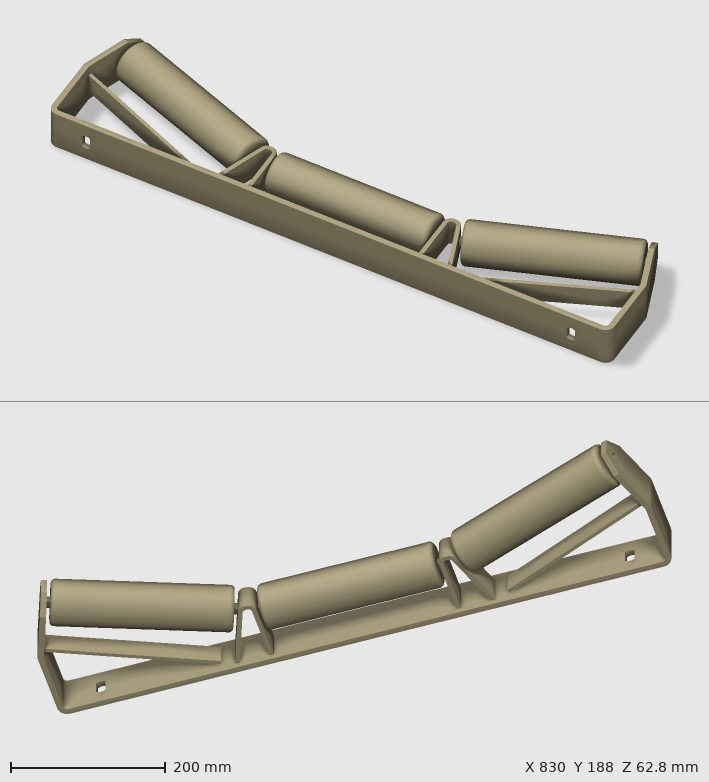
import cadquery as cq
import math


FRAME_LENGTH = 830.0
FRAME_DEPTH = 188.0
FRAME_HEIGHT = 60.0
FRAME_THICKNESS = 8.0
TROUGH_ANGLE = 20.0
BEND_RADIUS = 13.0
BEND_Y = 98.0
PLATE_TIP_HEIGHT = 26.0
PLATE_TAPER_LENGTH = 28.0

MOUNT_SLOT_SPACING = 715.5
MOUNT_SLOT_WIDTH = 12.5
MOUNT_SLOT_HEIGHT = 21.5

ROLLER_DIAMETER = 61.5
ROLLER_LENGTH = 237.0
ROLLER_EDGE_RADIUS = 6.0
ROLLER_GAP = 5.0
AXIS_DROP = 2.0
MIDDLE_AXIS_Y = 70.5
SIDE_AXIS_Y = 165.0

SHAFT_DIAMETER = 15.0
SHAFT_FLATS = 12.5
PLATE_SLOT_LENGTH = 18.0

BRACKET_THICKNESS = 6.0
BRACKET_TOP_Y = 94.0
BRACKET_BEND_RADIUS = 11.0
BRACKET_HEIGHT = 40.0

BRACE_THICKNESS = 5.0
BRACE_HEIGHT = 30.0
BRACE_END_X = 196.0
BRACE_TOP_Y = 95.5

SIDES = (-1, 1)
SLOPE = math.radians(TROUGH_ANGLE)
HALF_LENGTH = FRAME_LENGTH / 2
UP_PLATE = cq.Vector(math.sin(SLOPE), math.cos(SLOPE))
INWARD = cq.Vector(math.cos(SLOPE), -math.sin(SLOPE))

plate_bend = cq.Vector(-HALF_LENGTH, BEND_Y)
plate_length = (FRAME_DEPTH - BEND_Y) / UP_PLATE.y
axis_start = plate_bend + UP_PLATE * ((SIDE_AXIS_Y - BEND_Y) / UP_PLATE.y)
side_leg_offset = FRAME_THICKNESS + ROLLER_LENGTH + 2 * ROLLER_GAP
side_leg_point = axis_start + INWARD * side_leg_offset
LEG_REACH = ROLLER_GAP + BRACKET_THICKNESS
middle_leg_x = ROLLER_LENGTH / 2 + ROLLER_GAP


def strip(points, height):
    """Straight-sided plan outline extruded symmetrically about mid-height."""
    outline = [(p.x, p.y) for p in points]
    return cq.Workplane("XY").polyline(outline).close().extrude(height / 2, both=True)


def flatted_bar(diameter, flats, length):
    """Round bar along +X from the origin, with flats above and below, the given distance apart."""
    bar = cq.Workplane("YZ").circle(diameter / 2).extrude(length)
    return bar.intersect(cq.Workplane("XY").box(2 * length, diameter, flats))


def on_side(shape, side):
    """Shape built for the -X side, mirrored when the +X side is wanted."""
    if side < 0:
        return shape
    return shape.mirror("YZ")


def on_side_axis(shape):
    """Move a shape built along +X from the origin onto the -X side roller axis."""
    turned = shape.rotate((0, 0, 0), (0, 0, 1), -TROUGH_ANGLE)
    return turned.translate(axis_start)


def frame_bar():
    """Flat bar folded at the two lower corners and at the foot of each sloped plate."""
    tip = plate_bend + UP_PLATE * plate_length
    path = [
        (tip.x, tip.y), (plate_bend.x, plate_bend.y), (-HALF_LENGTH, 0),
        (HALF_LENGTH, 0), (-plate_bend.x, plate_bend.y), (-tip.x, tip.y),
    ]
    t = FRAME_THICKNESS
    inner_tip = tip + INWARD * t
    inner_bend_y = BEND_Y - t * math.tan(SLOPE / 2)
    inner_path = [
        (-inner_tip.x, inner_tip.y), (HALF_LENGTH - t, inner_bend_y), (HALF_LENGTH - t, t),
        (t - HALF_LENGTH, t), (t - HALF_LENGTH, inner_bend_y), (inner_tip.x, inner_tip.y),
    ]
    bar = cq.Workplane("XY").polyline(path + inner_path).close().extrude(FRAME_HEIGHT / 2, both=True)
    return round_frame_bends(bar, inner_bend_y)


def round_frame_bends(bar, inner_bend_y):
    """Round the outside and inside of all four bends about common centres."""
    t = FRAME_THICKNESS
    outer_corners = [(HALF_LENGTH, 0), (HALF_LENGTH, BEND_Y)]
    inner_corners = [(HALF_LENGTH - t, t), (HALF_LENGTH - t, inner_bend_y)]
    for corners, radius in ((outer_corners, BEND_RADIUS), (inner_corners, BEND_RADIUS - t)):
        for x, y in corners:
            for side in SIDES:
                edge = cq.selectors.NearestToPointSelector((side * x, y, 0))
                bar = bar.edges("|Z").edges(edge).fillet(radius)
    return bar


def plate_corner_cuts():
    """Wedges that taper the end of the -X sloped plate, above and below."""
    taper_drop = (FRAME_HEIGHT - PLATE_TIP_HEIGHT) / 2
    along = plate_length - (SIDE_AXIS_Y - BEND_Y) / UP_PLATE.y
    cuts = cq.Workplane("YZ")
    for end in SIDES:
        wedge = [
            (along, end * FRAME_HEIGHT / 2),
            (along - PLATE_TAPER_LENGTH, end * FRAME_HEIGHT / 2),
            (along, end * (FRAME_HEIGHT / 2 - taper_drop)),
        ]
        cuts = cuts.polyline(wedge).close()
    return on_side_axis(cuts.extrude(FRAME_THICKNESS))


def make_frame():
    frame = frame_bar()
    shaft_slot = flatted_bar(PLATE_SLOT_LENGTH, SHAFT_FLATS, FRAME_THICKNESS)
    slot_shift = (PLATE_SLOT_LENGTH - SHAFT_DIAMETER) / 2
    shaft_slot = on_side_axis(shaft_slot.translate((0, slot_shift, -AXIS_DROP)))
    mount_slot = flatted_bar(MOUNT_SLOT_HEIGHT, MOUNT_SLOT_WIDTH, FRAME_THICKNESS)
    mount_slot = mount_slot.rotate((0, 0, 0), (1, 0, 0), 90).rotate((0, 0, 0), (0, 0, 1), 90)
    mount_slot = mount_slot.translate((-MOUNT_SLOT_SPACING / 2, 0, 0))
    for side in SIDES:
        frame = frame.cut(on_side(plate_corner_cuts(), side))
        frame = frame.cut(on_side(shaft_slot, side))
        frame = frame.cut(on_side(mount_slot, side))
    return frame


def make_roller(first_reach, second_reach):
    """Roller along +X starting at X = 0, its shaft reaching past the two ends by the given lengths."""
    body = cq.Workplane("YZ").circle(ROLLER_DIAMETER / 2).extrude(ROLLER_LENGTH)
    body = body.edges("%CIRCLE").fillet(ROLLER_EDGE_RADIUS)
    shaft_length = first_reach + ROLLER_LENGTH + second_reach
    shaft = flatted_bar(SHAFT_DIAMETER, SHAFT_FLATS, shaft_length).translate((-first_reach, 0, 0))
    return body.union(shaft)


def make_side_roller(side):
    """Tilted roller between the sloped plate and the sloped bracket leg."""
    roller_start = FRAME_THICKNESS + ROLLER_GAP
    roller = make_roller(roller_start, LEG_REACH).translate((roller_start, 0, -AXIS_DROP))
    return on_side(on_side_axis(roller), side)


def make_middle_roller():
    return make_roller(LEG_REACH, LEG_REACH).translate((-ROLLER_LENGTH / 2, MIDDLE_AXIS_Y, -AXIS_DROP))


def make_bracket(side):
    """Folded strip: an upright leg by the middle roller and a leg square to the side roller axis."""
    t = BRACKET_THICKNESS

    def sloped_leg_at(y, offset):
        """Point at the given Y on a line parallel to the roller face of the sloped leg."""
        face = side_leg_point + INWARD * offset
        return cq.Vector(face.x + (y - face.y) * math.tan(SLOPE), y)

    foot = FRAME_THICKNESS
    crown = BRACKET_TOP_Y
    outer_bends = [sloped_leg_at(crown, 0), cq.Vector(-middle_leg_x, crown)]
    inner_bends = [cq.Vector(-middle_leg_x - t, crown - t), sloped_leg_at(crown - t, t)]
    bracket = strip(
        [sloped_leg_at(foot, 0), *outer_bends, cq.Vector(-middle_leg_x, foot),
         cq.Vector(-middle_leg_x - t, foot), *inner_bends, sloped_leg_at(foot, t)],
        BRACKET_HEIGHT,
    )
    for bends, radius in ((outer_bends, BRACKET_BEND_RADIUS), (inner_bends, BRACKET_BEND_RADIUS - t)):
        for bend in bends:
            edge = cq.selectors.NearestToPointSelector(bend.toTuple())
            bracket = bracket.edges("|Z").edges(edge).fillet(radius)
    bracket = bracket.translate((0, 0, -AXIS_DROP))

    hole = flatted_bar(SHAFT_DIAMETER, SHAFT_FLATS, t)
    bracket = bracket.cut(hole.translate((-middle_leg_x - t, MIDDLE_AXIS_Y, -AXIS_DROP)))
    bracket = bracket.cut(on_side_axis(hole.translate((side_leg_offset, 0, -AXIS_DROP))))
    return on_side(bracket, side)


def make_brace(side, frame):
    """Flat strip from the upright's bend down to the back bar, its upper end fitted to the bend."""
    upper = cq.Vector(FRAME_THICKNESS - HALF_LENGTH, BRACE_TOP_Y)
    lower = cq.Vector(-BRACE_END_X, FRAME_THICKNESS)
    along = (lower - upper).normalized()
    across = cq.Vector(-along.y, along.x) * BRACE_THICKNESS
    wall_top = cq.Vector(upper.x, upper.y + BRACE_THICKNESS / along.x)
    brace = strip([upper, lower, lower + across, wall_top], BRACE_HEIGHT)
    return on_side(brace, side).cut(frame)


frame = make_frame()
middle_roller = make_middle_roller()
side_rollers = [make_side_roller(side) for side in SIDES]
brackets = [make_bracket(side) for side in SIDES]
braces = [make_brace(side, frame) for side in SIDES]

separate_bodies = [frame, middle_roller, *side_rollers, *brackets, *braces]
result = cq.Compound.makeCompound([body.val() for body in separate_bodies])